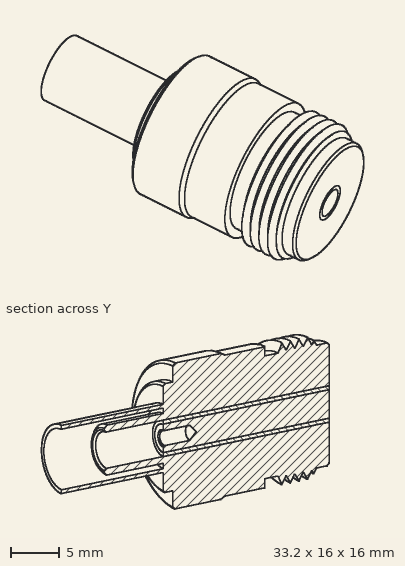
import cadquery as cq

TOTAL_LENGTH = 33.2

TUBE_RADIUS = 3.75
TUBE_BORE_RADIUS = 3.3

COLLAR_START = 12.58
COLLAR_RADIUS = 5.98
COLLAR_CHAMFER = 0.25
FLANGE_START = 13.78
FLANGE_RADIUS = 8.0
FLANGE_CHAMFER = 0.3
FLANGE_TAPER_START = 19.75
FLANGE_TAPER_LENGTH = 0.5
BARREL_RADIUS = 7.75
BARREL_END = 25.23
NECK_RADIUS = 6.75
MATING_END_CHAMFER = 0.25

THREAD_PITCH = 1.05
THREAD_CREST_COUNT = 4
THREAD_CREST_RADIUS = 7.77
THREAD_ROOT_RADIUS = 6.9
THREAD_START = 26.83
FIRST_CREST = 27.32
RUNOUT_CREST = 31.27
RUNOUT_CREST_RADIUS = 7.3
THREAD_END = 31.65

SLEEVE_START = 5.3
SLEEVE_RADIUS = 2.75
SLEEVE_TIP_RADIUS = 2.42
SLEEVE_MOUTH_RADIUS = 2.2
SLEEVE_BORE_RADIUS = 1.95

INSULATOR_START = COLLAR_START
PIN_RADIUS = 1.53
CUP_RADIUS = 0.8
CUP_MOUTH_RADIUS = 0.93
CUP_DEPTH = 3.32
CUP_POINT_LENGTH = CUP_RADIUS


def revolve_profile(points):
    """Revolve a closed outline of (x, radius) points around the X axis."""
    return cq.Workplane("XY").polyline(points).close().revolve(360, (0, 0, 0), (1, 0, 0))


def thread_outline():
    """Crests and roots of the thread, from its start to its run-out."""
    points = [(THREAD_START, NECK_RADIUS)]
    for index in range(THREAD_CREST_COUNT):
        crest = FIRST_CREST + index * THREAD_PITCH
        points.append((crest, THREAD_CREST_RADIUS))
        points.append((crest + THREAD_PITCH / 2, THREAD_ROOT_RADIUS))
    points.append((RUNOUT_CREST, RUNOUT_CREST_RADIUS))
    points.append((THREAD_END, NECK_RADIUS))
    return points


def outer_outline():
    """Outside of the housing, from the cable end to the mating end."""
    return [
        (0, TUBE_RADIUS),
        (COLLAR_START, TUBE_RADIUS),
        (COLLAR_START, COLLAR_RADIUS - COLLAR_CHAMFER),
        (COLLAR_START + COLLAR_CHAMFER, COLLAR_RADIUS),
        (FLANGE_START, COLLAR_RADIUS),
        (FLANGE_START, FLANGE_RADIUS - FLANGE_CHAMFER),
        (FLANGE_START + FLANGE_CHAMFER, FLANGE_RADIUS),
        (FLANGE_TAPER_START, FLANGE_RADIUS),
        (FLANGE_TAPER_START + FLANGE_TAPER_LENGTH, BARREL_RADIUS),
        (BARREL_END, BARREL_RADIUS),
        (BARREL_END, NECK_RADIUS),
        *thread_outline(),
        (TOTAL_LENGTH - MATING_END_CHAMFER, NECK_RADIUS),
        (TOTAL_LENGTH, NECK_RADIUS - MATING_END_CHAMFER),
    ]


def inner_outline():
    """Inside of the housing, from the mating end back to the cable end."""
    tip_chamfer = SLEEVE_RADIUS - SLEEVE_TIP_RADIUS
    mouth_chamfer = SLEEVE_MOUTH_RADIUS - SLEEVE_BORE_RADIUS
    return [
        (TOTAL_LENGTH, SLEEVE_BORE_RADIUS),
        (SLEEVE_START + mouth_chamfer, SLEEVE_BORE_RADIUS),
        (SLEEVE_START, SLEEVE_MOUTH_RADIUS),
        (SLEEVE_START, SLEEVE_TIP_RADIUS),
        (SLEEVE_START + tip_chamfer, SLEEVE_RADIUS),
        (COLLAR_START, SLEEVE_RADIUS),
        (COLLAR_START, TUBE_BORE_RADIUS),
        (0, TUBE_BORE_RADIUS),
    ]


def make_housing():
    """Threaded housing with its crimp tube and inner sleeve."""
    return revolve_profile(outer_outline() + inner_outline())


def make_insulator():
    """Plain insulating bush that fills the housing bore around the pin."""
    return revolve_profile([
        (INSULATOR_START, PIN_RADIUS),
        (INSULATOR_START, SLEEVE_BORE_RADIUS),
        (TOTAL_LENGTH, SLEEVE_BORE_RADIUS),
        (TOTAL_LENGTH, PIN_RADIUS),
    ])


def make_pin():
    """Contact pin with a chamfered, pointed wire cup at the cable end."""
    mouth_chamfer = CUP_MOUTH_RADIUS - CUP_RADIUS
    cup_bottom = INSULATOR_START + CUP_DEPTH
    return revolve_profile([
        (INSULATOR_START, CUP_MOUTH_RADIUS),
        (INSULATOR_START, PIN_RADIUS),
        (TOTAL_LENGTH, PIN_RADIUS),
        (TOTAL_LENGTH, 0),
        (cup_bottom + CUP_POINT_LENGTH, 0),
        (cup_bottom, CUP_RADIUS),
        (INSULATOR_START + mouth_chamfer, CUP_RADIUS),
    ])


housing = make_housing()
insulator = make_insulator()
pin = make_pin()

result = cq.Compound.makeCompound([housing.val(), insulator.val(), pin.val()])